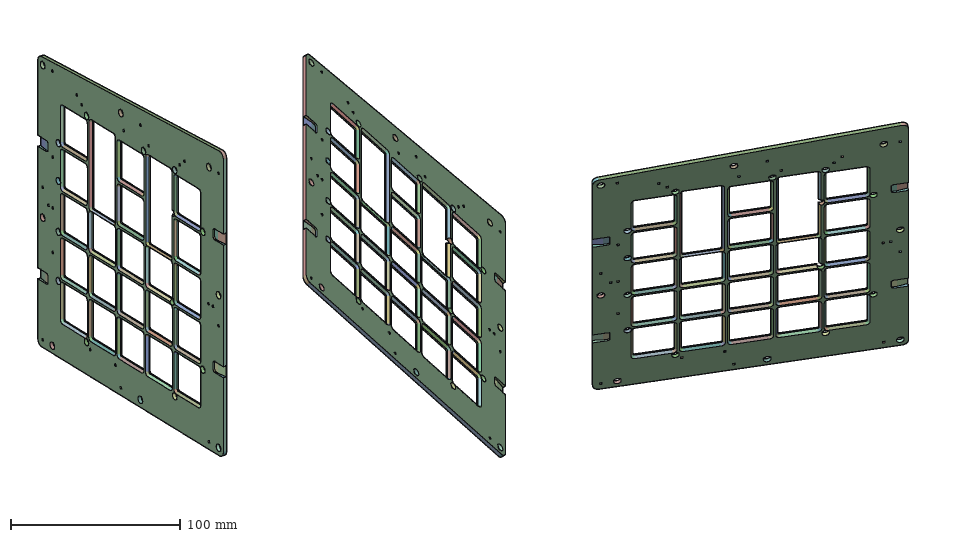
import cadquery as cq
import math


WIDTH = 190.0
HALF_WIDTH = WIDTH / 2
BOTTOM_Z = -HALF_WIDTH
HEIGHT = 199.7
CORNER_RADIUS = 4.0
TOP_SLOPE = math.radians(3)

GRID_SIZE = 5
GRID_SPAN = 116.0
PITCH = GRID_SPAN / (GRID_SIZE - 1)
WINDOW_SIZE = 24.8
TALL_WIDTH = 24.0
TALL_HEIGHT = 58.0
TALL_COLUMNS = (1, 3)
TALL_ROWS = 2
BEVEL_WIDTH = 1.4
BEVEL_DEPTH = 1.5
STRAIGHT_DEPTH = 1.0
THICKNESS = BEVEL_DEPTH + STRAIGHT_DEPTH
WINDOW_CORNER_RADIUS = 1.0

BORDER_INSET = 5.0
SCREW_DIAMETER = 4.5
PIN_DIAMETER = 1.5
BORDER_OUTER = HALF_WIDTH - BORDER_INSET
BORDER_MIDDLE = 10.0
BORDER_INNER = 80.0

CLEARANCE_DIAMETER = 4.4
CLEARANCE_POINTS = [
    (-45.1, 74.3),
    (13.2, 74.3),
    (45.1, 74.3),
    (-74.0, 45.1),
    (-74.0, 20.4),
    (-74.0, -13.0),
    (-74.0, -45.1),
    (74.0, 45.1),
    (74.0, -45.1),
    (42.3, 45.1),
    (42.3, -13.0),
    (-45.1, -74.0),
    (45.1, -74.0),
]

SMALL_POINTS = [
    (-55.1, 84.0),
    (-50.1, 79.7),
    (-7.0, 79.7),
    (18.4, 79.7),
    (50.1, 79.7),
    (55.1, 84.0),
    (-79.7, 33.8),
    (-84.0, 0.4),
    (-79.7, 0.4),
    (-79.7, -28.8),
    (79.7, 0.4),
    (84.3, 0.4),
    (-41.3, -77.3),
    (-15.5, -77.3),
]

POCKET_LENGTH = 10.4
POCKET_WIDTH = 7.2
POCKET_RADIUS = 1.4
POCKET_DEPTH = 1.1
RAMP_LENGTH = 6.5
RAMP_END_DEPTH = 2.0
POCKET_HIGH_Z = 48.3
POCKET_LOW_Z = 38.5


def front_plane():
    """Workplane on the front face; negative extrusions go into the plate."""
    return cq.Workplane("XZ")


def make_plate():
    arc_center_x = HALF_WIDTH - CORNER_RADIUS
    arc_center_z = BOTTOM_Z + HEIGHT - CORNER_RADIUS
    slope_z_at_arc = arc_center_z + CORNER_RADIUS / math.cos(TOP_SLOPE)
    right_z = slope_z_at_arc + (HALF_WIDTH - arc_center_x) * math.tan(TOP_SLOPE)
    left_z = right_z - 2 * HALF_WIDTH * math.tan(TOP_SLOPE)
    outline = [
        (-HALF_WIDTH, BOTTOM_Z),
        (HALF_WIDTH, BOTTOM_Z),
        (HALF_WIDTH, right_z),
        (-HALF_WIDTH, left_z),
    ]
    plate = front_plane().polyline(outline).close().extrude(-THICKNESS)
    return plate.edges("|Y").fillet(CORNER_RADIUS)


def rounded_block(width, height, radius, depth, taper=0):
    profile = cq.Sketch().rect(width, height).vertices().fillet(radius)
    return front_plane().placeSketch(profile).extrude(-depth, taper=taper)


def window_cutter(width, height):
    """Through opening with a bevelled front edge."""
    opening = rounded_block(width, height, WINDOW_CORNER_RADIUS, THICKNESS)
    bevel = rounded_block(
        width + 2 * BEVEL_WIDTH,
        height + 2 * BEVEL_WIDTH,
        WINDOW_CORNER_RADIUS + BEVEL_WIDTH,
        BEVEL_DEPTH,
        math.degrees(math.atan2(BEVEL_WIDTH, BEVEL_DEPTH)),
    )
    return opening.union(bevel)


def cut_windows(plate):
    square = window_cutter(WINDOW_SIZE, WINDOW_SIZE)
    tall = window_cutter(TALL_WIDTH, TALL_HEIGHT)
    middle = (GRID_SIZE - 1) / 2
    tall_z = (middle - (TALL_ROWS - 1) / 2) * PITCH
    for column in range(GRID_SIZE):
        x = (column - middle) * PITCH
        first_row = 0
        if column in TALL_COLUMNS:
            plate = plate.cut(tall.translate((x, 0, tall_z)))
            first_row = TALL_ROWS
        for row in range(first_row, GRID_SIZE):
            plate = plate.cut(square.translate((x, 0, (middle - row) * PITCH)))
    return plate


def drill(plate, points, diameter):
    return plate.cut(front_plane().pushPoints(points).circle(diameter / 2).extrude(-THICKNESS))


def drill_border(plate):
    screws = [
        (-BORDER_OUTER, BORDER_OUTER),
        (-BORDER_MIDDLE, BORDER_OUTER),
        (BORDER_INNER, BORDER_OUTER),
        (BORDER_OUTER, BORDER_MIDDLE),
    ]
    screws += [(-x, -z) for x, z in screws]
    pins = [(-x, z) for x, z in screws]
    return drill(drill(plate, screws, SCREW_DIAMETER), pins, PIN_DIAMETER)


def pocket_cutter():
    """Pocket in the left side, centred on Z = 0."""
    side_profile = [
        (-HALF_WIDTH, 0),
        (POCKET_LENGTH - HALF_WIDTH, 0),
        (POCKET_LENGTH - HALF_WIDTH, POCKET_DEPTH),
        (RAMP_LENGTH - HALF_WIDTH, POCKET_DEPTH),
        (-HALF_WIDTH, RAMP_END_DEPTH),
    ]
    cutter = cq.Workplane("XY").polyline(side_profile).close().extrude(POCKET_WIDTH / 2, both=True)
    return cutter.edges("|Y and >X").fillet(POCKET_RADIUS)


def cut_pockets(plate):
    left = pocket_cutter()
    right = left.mirror("YZ")
    for z in (POCKET_LOW_Z, -POCKET_HIGH_Z):
        plate = plate.cut(left.translate((0, 0, z)))
        plate = plate.cut(right.translate((0, 0, -z)))
    return plate


result = make_plate()
result = cut_windows(result)
result = drill_border(result)
result = drill(result, CLEARANCE_POINTS, CLEARANCE_DIAMETER)
result = drill(result, SMALL_POINTS, PIN_DIAMETER)
result = cut_pockets(result)